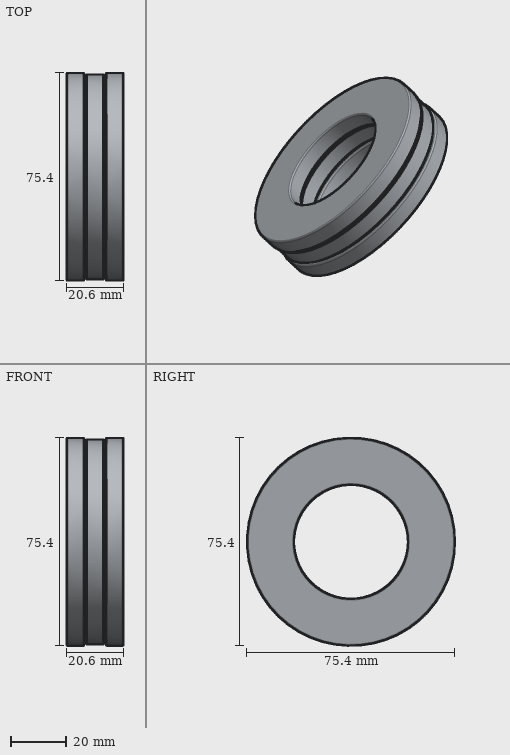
import cadquery as cq

outer_diameter = 75.4
bore_diameter = 41.25
total_width = 20.6
edge_size = 0.5

roller_diameter = 7.9
roller_length = 14.3
roller_count = 4

cage_width = 6.95

washer_width = (total_width - roller_diameter) / 2
washer_centre_x = (roller_diameter + washer_width) / 2

cage_outer_diameter = outer_diameter - 2 * edge_size
cage_bore_diameter = bore_diameter + 2 * edge_size

roller_pitch_radius = (outer_diameter + bore_diameter) / 4


def make_ring(ring_outer_diameter, ring_bore_diameter, width):
    """Plain ring around the X axis, centred at X = 0."""
    return (
        cq.Workplane("YZ", origin=(-width / 2, 0, 0))
        .circle(ring_outer_diameter / 2)
        .circle(ring_bore_diameter / 2)
        .extrude(width)
    )


def make_washer(centre_x):
    """Flat raceway washer with all four circular edges rounded."""
    ring = make_ring(outer_diameter, bore_diameter, washer_width)
    return ring.edges("%CIRCLE").fillet(edge_size).translate((centre_x, 0, 0))


def make_roller(angle):
    """Radial roller with bevelled ends, turned about X by the angle from +Z."""
    roller = (
        cq.Workplane("XY", origin=(0, 0, roller_pitch_radius - roller_length / 2))
        .circle(roller_diameter / 2)
        .extrude(roller_length)
        .edges("%CIRCLE")
        .chamfer(edge_size)
    )
    return roller.rotate((0, 0, 0), (1, 0, 0), angle)


def make_cage(rollers):
    """Bevelled ring with one pocket that fits each roller."""
    cage = make_ring(cage_outer_diameter, cage_bore_diameter, cage_width)
    cage = cage.edges("%CIRCLE").chamfer(edge_size)
    for roller in rollers:
        cage = cage.cut(roller)
    return cage.solids()


washers = [make_washer(side * washer_centre_x) for side in (-1, 1)]
rollers = [make_roller(index * 360 / roller_count) for index in range(roller_count)]
cage = make_cage(rollers)

result = cq.Compound.makeCompound(
    [
        *[washer.solids().val() for washer in washers],
        cage.val(),
        *[roller.solids().val() for roller in rollers],
    ]
)